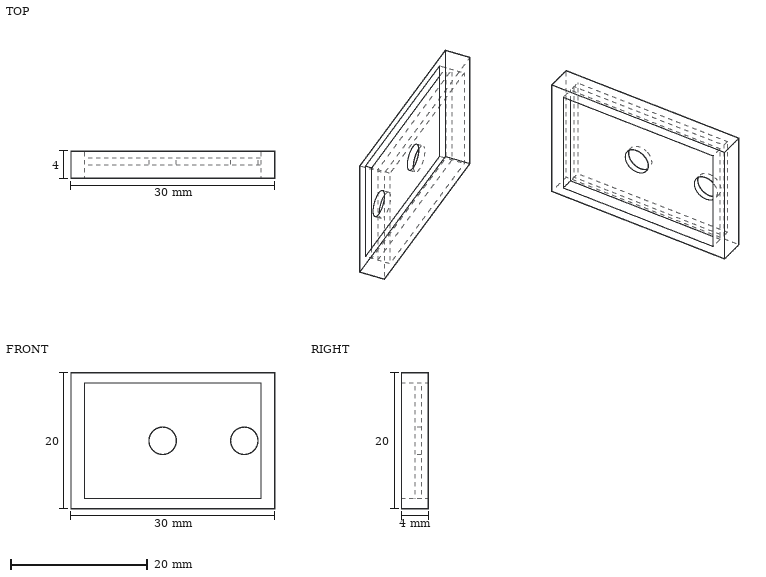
import cadquery as cq

frame_length = 30.0
frame_depth = 4.0
frame_height = 20.0
side_rail_width = 2.0
end_rail_height = 1.5
window_length = frame_length - 2 * side_rail_width
window_height = frame_height - 2 * end_rail_height

plate_thickness = 1.0
plate_setback = frame_depth / 2

hole_diameter = 4.0
hole_spacing = 12.0
first_hole_x = -1.5
hole_positions = [(first_hole_x, 0), (first_hole_x + hole_spacing, 0)]


def block(length, depth, height, front_y):
    """Block centred in X and Z, running from front_y toward +Y."""
    return cq.Workplane("XY").box(length, depth, height, centered=(True, False, True)).translate((0, front_y, 0))


def make_frame():
    """Frame with a rectangular window right through its depth."""
    outer = block(frame_length, frame_depth, frame_height, 0)
    window = block(window_length, frame_depth, window_height, 0)
    return outer.cut(window)


def make_plate():
    """Flat plate with two round through holes."""
    plate = block(window_length, plate_thickness, window_height, plate_setback)
    return plate.faces("<Y").workplane(origin=(0, plate_setback, 0)).pushPoints(hole_positions).hole(hole_diameter)


frame = make_frame()
plate = make_plate()

result = cq.Compound.makeCompound([frame.val(), plate.val()])